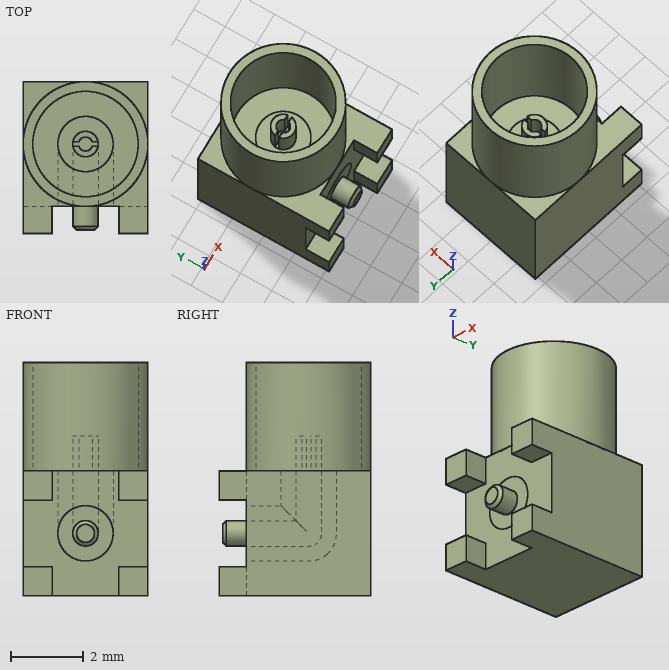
import cadquery as cq


block_side = 3.45
total_height = 6.45
socket_bore_diameter = 2.915
foot_width = 0.805
foot_length = 0.75

insulator_diameter = 1.53

contact_diameter = 0.7
contact_rise = 0.97
contact_hole_diameter = 0.39
contact_slot_width = 0.12
tail_length = 0.65
tail_chamfer = 0.1

half_side = block_side / 2
front_y = -half_side
elbow_z = half_side
socket_floor_z = block_side
contact_top_z = socket_floor_z + contact_rise
foot_offset = half_side - foot_width / 2


def elbow(diameter, top_z, end_y):
    """Round bar from top_z down to the elbow, then forward to end_y."""
    radius = diameter / 2
    upright = (
        cq.Workplane("XY").workplane(offset=elbow_z)
        .circle(radius).extrude(top_z - elbow_z)
    )
    forward = cq.Workplane("XZ").center(0, elbow_z).circle(radius).extrude(-end_y)
    corner = cq.Workplane("XY").sphere(radius).translate((0, 0, elbow_z))
    return upright.union(forward).union(corner)


def make_housing():
    """Cubic block with a tubular socket on top and four feet on the front."""
    body = cq.Workplane("XY").box(block_side, block_side, block_side, centered=(True, True, False))
    tube = (
        cq.Workplane("XY").workplane(offset=socket_floor_z)
        .circle(half_side).circle(socket_bore_diameter / 2)
        .extrude(total_height - socket_floor_z)
    )
    feet = (
        cq.Workplane("XZ", origin=(0, front_y, elbow_z))
        .rarray(2 * foot_offset, 2 * foot_offset, 2, 2)
        .rect(foot_width, foot_width).extrude(foot_length)
    )
    insulator_passage = elbow(insulator_diameter, socket_floor_z, front_y)
    return body.union(tube).union(feet).cut(insulator_passage)


def make_insulator():
    """Bent insulator, flush with the socket floor and the front face."""
    contact_passage = elbow(contact_diameter, socket_floor_z, front_y)
    return elbow(insulator_diameter, socket_floor_z, front_y).cut(contact_passage)


def make_contact():
    """Bent contact with a slotted, hollow upper end and a chamfered tail."""
    body = elbow(contact_diameter, contact_top_z, front_y - tail_length)
    body = body.faces("<Y").chamfer(tail_chamfer)
    top = cq.Workplane("XY").workplane(offset=contact_top_z)
    hole = top.circle(contact_hole_diameter / 2).extrude(-contact_rise)
    slot = top.rect(contact_diameter, contact_slot_width).extrude(-contact_rise)
    return body.cut(hole).cut(slot)


housing = make_housing()
insulator = make_insulator()
contact = make_contact()

bodies = [housing, insulator, contact]
result = cq.Compound.makeCompound([body.solids().val() for body in bodies])